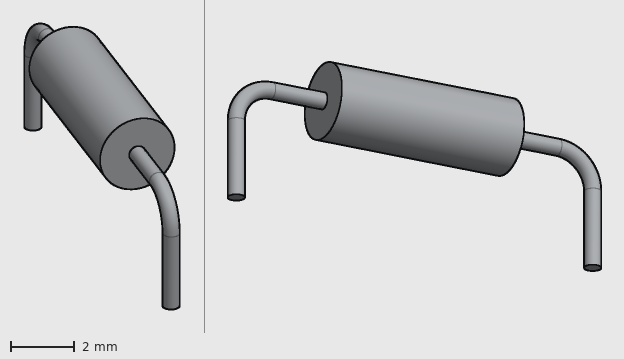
import cadquery as cq

body_diameter = 2.5
body_length = 6.5
lead_diameter = 0.55
lead_pitch = 12.7
bend_radius = 1.25
leg_drop = 3.85

leg_x = lead_pitch / 2
bend_start_x = leg_x - bend_radius


def make_body():
    """Plain cylinder along X."""
    left_end = cq.Workplane("YZ", origin=(-body_length / 2, 0, 0))
    return left_end.circle(body_diameter / 2).extrude(body_length)


def make_wire():
    """One round wire running through the body and bent down at both ends."""
    path = (
        cq.Workplane("XZ")
        .moveTo(-leg_x, -leg_drop)
        .lineTo(-leg_x, -bend_radius)
        .tangentArcPoint((-bend_start_x, 0), relative=False)
        .lineTo(bend_start_x, 0)
        .tangentArcPoint((leg_x, -bend_radius), relative=False)
        .lineTo(leg_x, -leg_drop)
    )
    tip = cq.Workplane("XY", origin=(-leg_x, 0, -leg_drop))
    return tip.circle(lead_diameter / 2).sweep(path)


result = make_body().union(make_wire())